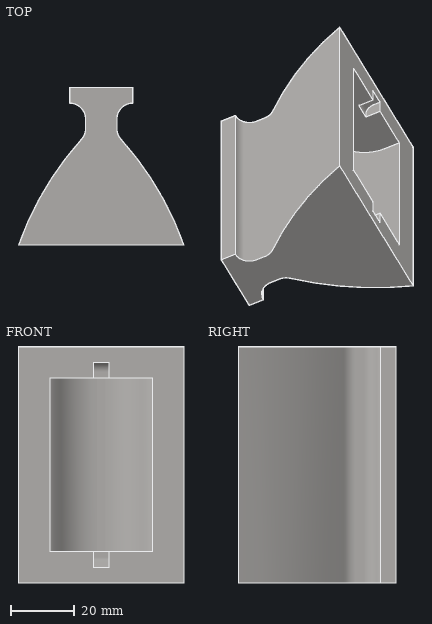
import cadquery as cq

height = 75.0
depth = 50.0
base_width = 52.5
head_width = 20.0
head_thickness = 5.0
neck_width = 10.0
flank_top_y = 35.0
flank_radius = 100.0
flank_blend_radius = 5.0

wall = 10.0
cavity_width = base_width - 2 * wall
cavity_height = height - 2 * wall
cavity_depth = 20.0
cavity_corner_radius = 15.0

slot_width = 5.0
slot_overall_height = 65.0
slot_depth = 5.0
slot_corner_radius = 3.0


def make_body():
    """Extrude the flared profile and round the corners between neck and flanks."""
    half_base = base_width / 2
    half_head = head_width / 2
    half_neck = neck_width / 2
    head_bottom_y = depth - head_thickness
    undercut_radius = half_head - half_neck
    neck_top_y = head_bottom_y - undercut_radius

    body = (
        cq.Workplane("XY")
        .workplane(offset=-height / 2)
        .moveTo(-half_base, 0)
        .lineTo(half_base, 0)
        .radiusArc((half_neck, flank_top_y), -flank_radius)
        .lineTo(half_neck, neck_top_y)
        .radiusArc((half_head, head_bottom_y), undercut_radius)
        .lineTo(half_head, depth)
        .lineTo(-half_head, depth)
        .lineTo(-half_head, head_bottom_y)
        .radiusArc((-half_neck, neck_top_y), undercut_radius)
        .lineTo(-half_neck, flank_top_y)
        .radiusArc((-half_base, 0), -flank_radius)
        .close()
        .extrude(height)
    )
    for side in (-1, 1):
        corner = cq.selectors.NearestToPointSelector((side * half_neck, flank_top_y, 0))
        body = body.edges("|Z").edges(corner).fillet(flank_blend_radius)
    return body


def make_pocket(width, pocket_depth, pocket_height):
    """Block reaching from the base face into the body, centred on X and Z."""
    return cq.Workplane("XY").box(width, pocket_depth, pocket_height).translate((0, pocket_depth / 2, 0))


def make_cavity():
    """Main pocket, its two back corners along Z rounded to leave a narrow flat."""
    block = make_pocket(cavity_width, cavity_depth, cavity_height)
    return block.edges("|Z and >Y").fillet(cavity_corner_radius)


def make_slots():
    """One bar spanning both end slots, with its two inner corners rounded."""
    bar = make_pocket(slot_width, slot_depth, slot_overall_height)
    return bar.edges("|X and >Y").fillet(slot_corner_radius)


result = make_body().cut(make_cavity()).cut(make_slots())